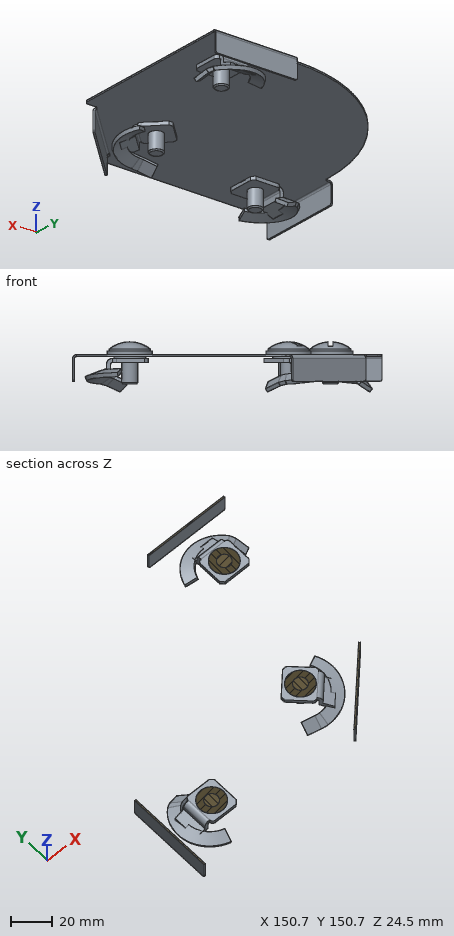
import cadquery as cq
import math

size = 150.74
sheet = 1.0
bend_outer = 2.0
flange_height = 13.0
flange_corner = 1.0
side_inset = 0.3
flange_length = 50.3
rim_radius = 93.3
rim_offset = 98.2
notch_fillet = 2.0
notch_depth = 46.65
notch_step = 7.5
notch_corner = 2.0

end_screw_inset = 27.9
end_screw_side = 25.1
corner_screw_inset = 105.2

shank_diameter = 8.0
shank_length = 14.4
shank_chamfer = 0.7
flange_disc_radius = 11.0
flange_disc_height = 1.8
dome_radius = 10.1
dome_base = 2.7
head_height = 6.3
slot_width = 2.2
slot_floor = 4.1

washer_diameter = 15.6
washer_thickness = 0.8

latch_thickness = 2.1
base_right = 9.1
base_half_width = 9.7
base_chamfer = 1.8
base_rounding = 2.0
leg_outer = 11.4
leg_bend_inner = 0.9
wing_inner_radius = 15.0
wing_outer_radius = 21.7
wing_slope = 22.0
wing_outer_top = -10.9
wing_raised_span = 74.0
wing_folds = (49.0, 59.0)
wing_tip_length = 7.7
fold_angle = 12.0
wing_tilt = 6.0


def mirrored(x, y):
    """Mirror a point across the diagonal on which the plate is symmetric."""
    return size - y, size - x


def flange(length):
    """A bent-down flange: bend starts at x = 0 and leaves toward -X, centred on y = 0."""
    bend_inner = bend_outer - sheet
    mid = math.sqrt(0.5)
    body = (
        cq.Workplane("XZ")
        .moveTo(0, 0)
        .threePointArc((-bend_outer * mid, -bend_outer * (1 - mid)), (-bend_outer, -bend_outer))
        .lineTo(-bend_outer, -flange_height)
        .lineTo(-bend_inner, -flange_height)
        .lineTo(-bend_inner, -bend_outer)
        .threePointArc((-bend_inner * mid, -bend_outer + bend_inner * mid), (0, -sheet))
        .close()
        .extrude(length / 2, both=True)
    )
    return body.edges("|X").edges("<Z").fillet(flange_corner)


def cover_plate(screw_places):
    rim_mid = rim_offset - rim_radius * math.sqrt(0.5)
    rim_x = rim_offset - math.sqrt(rim_radius**2 - (flange_length - (size - rim_offset)) ** 2)
    notch_edge = size - notch_depth
    plate = (
        cq.Workplane("XY")
        .moveTo(bend_outer, side_inset)
        .lineTo(notch_edge, side_inset)
        .lineTo(notch_edge, notch_step)
        .lineTo(size - notch_step, notch_depth)
        .lineTo(size - side_inset, notch_depth)
        .lineTo(size - side_inset, size - bend_outer)
        .lineTo(*mirrored(bend_outer, flange_length))
        .lineTo(*mirrored(rim_x, flange_length))
        .threePointArc((rim_mid, size - rim_mid), (rim_x, flange_length))
        .lineTo(bend_outer, flange_length)
        .close()
        .extrude(-sheet)
    )
    for x, y in ((notch_edge, side_inset), (size - side_inset, notch_depth)):
        plate = plate.edges(cq.NearestToPointSelector((x, y, -sheet / 2))).fillet(notch_corner)
    for x, y in ((rim_x, flange_length), mirrored(rim_x, flange_length)):
        plate = plate.edges(cq.NearestToPointSelector((x, y, -sheet / 2))).fillet(notch_fillet)

    left_flange = flange(flange_length).translate((bend_outer, flange_length / 2, 0))
    back_flange = (
        flange(flange_length)
        .rotate((0, 0, 0), (0, 0, 1), -90)
        .translate((*mirrored(bend_outer, flange_length / 2), 0))
    )
    middle = ((notch_edge + size - notch_step) / 2, (notch_step + notch_depth) / 2, 0)
    diagonal_flange = (
        flange(flange_length)
        .rotate((0, 0, 0), (0, 0, 1), 135)
        .translate(middle)
    )
    plate = plate.union(left_flange).union(back_flange).union(diagonal_flange)
    for x, y, _ in screw_places:
        hole = cq.Workplane("XY").circle(shank_diameter / 2).extrude(-sheet).translate((x, y, 0))
        plate = plate.cut(hole)
    return plate


def screw():
    """Slotted dome-head screw on the Z axis, head on z = 0, slot along X."""
    shank = (
        cq.Workplane("XY")
        .circle(shank_diameter / 2)
        .extrude(-shank_length)
        .faces("<Z")
        .chamfer(shank_chamfer)
    )
    dome_height = head_height - dome_base
    sphere_radius = (dome_radius**2 + dome_height**2) / (2 * dome_height)
    sphere_z = head_height - sphere_radius
    arc_x = dome_radius / 2
    arc_z = sphere_z + math.sqrt(sphere_radius**2 - arc_x**2)
    head = (
        cq.Workplane("XZ")
        .moveTo(0, 0)
        .lineTo(flange_disc_radius, 0)
        .lineTo(flange_disc_radius, flange_disc_height)
        .lineTo(dome_radius, flange_disc_height)
        .lineTo(dome_radius, dome_base)
        .threePointArc((arc_x, arc_z), (0, head_height))
        .close()
        .revolve(360, (0, 0, 0), (0, 1, 0))
    )
    slot = (
        cq.Workplane("XY")
        .box(2 * flange_disc_radius, slot_width, head_height, centered=(True, True, False))
        .translate((0, 0, slot_floor))
    )
    return head.cut(slot).union(shank)


def washer():
    """Flat washer directly under the plate."""
    return (
        cq.Workplane("XY")
        .workplane(offset=-sheet)
        .circle(washer_diameter / 2)
        .circle(shank_diameter / 2)
        .extrude(-washer_thickness)
    )


def wing_top(radius):
    """Height of the sloping top of the wing at a distance from the screw axis."""
    return wing_outer_top + (wing_outer_radius - radius) * math.tan(math.radians(wing_slope))


def wing_section():
    """Sloping cross-section of the wing at the middle, on the -X side."""
    drop = latch_thickness * math.cos(math.radians(wing_slope))
    inset = latch_thickness * math.sin(math.radians(wing_slope))
    inner_top = wing_top(wing_inner_radius)
    return (
        cq.Workplane("XZ")
        .moveTo(-wing_outer_radius, wing_outer_top)
        .lineTo(-wing_inner_radius, inner_top)
        .lineTo(-wing_inner_radius + inset, inner_top - drop)
        .lineTo(-wing_outer_radius + inset, wing_outer_top - drop)
        .close()
    )


def wing_sector(start, end):
    """Conical ring sector; angles run from -X, positive toward +Y."""
    sector = wing_section().revolve(end - start, (0, 0, 0), (0, -1, 0))
    return sector.rotate((0, 0, 0), (0, 0, 1), -start)


def wing_tip(angle):
    """Straight end of the wing, leaving the ring sector along its tangent."""
    return wing_section().extrude(-wing_tip_length).rotate((0, 0, 0), (0, 0, 1), -angle)


def fold_down(body, angle):
    """Turn a body downward about the wing's top line at the given angle."""
    direction = (-math.cos(math.radians(angle)), math.sin(math.radians(angle)))
    inner = tuple(wing_inner_radius * c for c in direction) + (wing_top(wing_inner_radius),)
    outer = tuple(wing_outer_radius * c for c in direction) + (wing_outer_top,)
    return body.rotate(inner, outer, fold_angle)


def latch_wing():
    first, second = wing_folds
    tip = fold_down(wing_tip(second), second)
    lowered = fold_down(wing_sector(first, second).union(tip), first)
    wing = wing_sector(-wing_raised_span, first).union(lowered)
    middle = (-wing_outer_radius, 0, wing_outer_top)
    return wing.rotate(middle, (0, 0, wing_outer_top), -wing_tilt)


def latch():
    """Bent latch threaded on the screw, its wing toward -X."""
    base_top = -sheet - washer_thickness
    base_bottom = base_top - latch_thickness
    leg_inner = leg_outer - latch_thickness
    base_left = leg_inner - leg_bend_inner
    base = (
        cq.Workplane("XY")
        .workplane(offset=base_bottom)
        .moveTo((base_right - base_left) / 2, 0)
        .rect(base_right + base_left, 2 * base_half_width)
        .extrude(latch_thickness)
    )
    base = base.edges("|Z and >X").chamfer(base_chamfer)
    base = base.edges("|Z and <X").fillet(base_rounding)
    depth = latch_thickness / math.cos(math.radians(wing_slope))
    tongue_end = wing_inner_radius + latch_thickness
    arm = (
        cq.Workplane("XZ")
        .moveTo(0, base_top)
        .lineTo(-leg_outer, base_top)
        .lineTo(-leg_outer, wing_top(leg_outer))
        .lineTo(-tongue_end, wing_top(tongue_end))
        .lineTo(-tongue_end, wing_top(tongue_end) - depth)
        .lineTo(-leg_inner, wing_top(leg_inner) - depth)
        .lineTo(-leg_inner, base_bottom)
        .lineTo(0, base_bottom)
        .close()
        .extrude(base_half_width - base_rounding, both=True)
    )
    for x, z, radius in (
        (-leg_outer, base_top, leg_bend_inner + latch_thickness),
        (-leg_inner, base_bottom, leg_bend_inner),
    ):
        arm = arm.edges(cq.NearestToPointSelector((x, 0, z))).fillet(radius)
    bore = (
        cq.Workplane("XY")
        .workplane(offset=base_bottom)
        .circle(shank_diameter / 2)
        .extrude(latch_thickness)
    )
    return base.union(arm).union(latch_wing()).cut(bore)


screw_places = (
    (end_screw_inset, end_screw_side, 0),
    (*mirrored(end_screw_inset, end_screw_side), -90),
    (corner_screw_inset, size - corner_screw_inset, 135),
)

bodies = [cover_plate(screw_places).solids().val()]
for x, y, turn in screw_places:
    for fitting in (screw(), washer(), latch()):
        bodies.append(fitting.rotate((0, 0, 0), (0, 0, 1), turn).translate((x, y, 0)).solids().val())

result = cq.Compound.makeCompound(bodies)